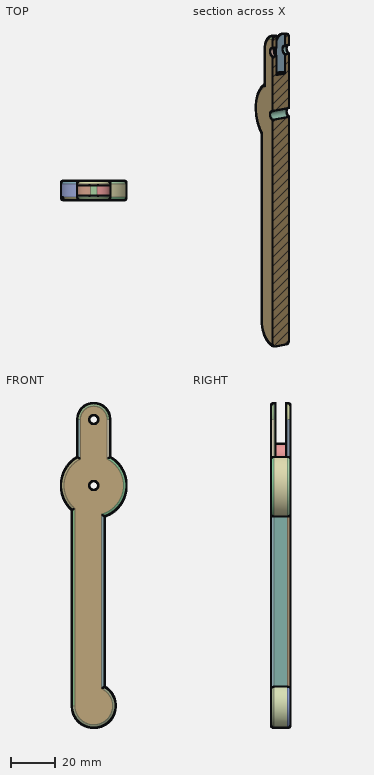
import cadquery as cq
import math

thickness = 9.0
disc_radius = 30.0 / 2
neck_radius = 7.5
fork_hole_height = 30.0
hole_diameter = 4.0
lobe_radius = 10.0
lobe_depth = 100.0
shaft_width = 15.0
edge_fillet = 1.5
slot_width = 4.5
tongue_corner_radius = 6.0

shaft_left = -lobe_radius
shaft_right = shaft_left + shaft_width
top = fork_hole_height + neck_radius
neck_root = math.sqrt(disc_radius**2 - neck_radius**2)
tongue_top = neck_root + tongue_corner_radius


def plate(depth):
    """Workplane whose extrusion by depth is centred on Y = 0."""
    return cq.Workplane("XZ", origin=(0, depth / 2, 0))


def cylinder(radius, height, depth):
    return plate(depth).center(0, height).circle(radius).extrude(depth)


def block(left, right, low, high, depth):
    width = right - left
    return plate(depth).center(left, low).rect(width, high - low, centered=False).extrude(depth)


def make_body():
    """Disc, rounded neck and offset shaft with its end lobe, all rounded on both faces."""
    disc = cylinder(disc_radius, 0, thickness)
    neck = block(-neck_radius, neck_radius, 0, fork_hole_height, thickness)
    neck_end = cylinder(neck_radius, fork_hole_height, thickness)
    shaft = block(shaft_left, shaft_right, -lobe_depth, 0, thickness)
    lobe = cylinder(lobe_radius, -lobe_depth, thickness)
    body = disc.union(neck).union(neck_end).union(shaft).union(lobe).clean()
    return body.faces("<Y or >Y").edges().fillet(edge_fillet)


def make_fork_slot():
    """Gap between the fork cheeks, leaving a round-cornered tongue at its root."""
    gap = block(-neck_radius, neck_radius, neck_root, top, slot_width)
    tongue = block(-neck_radius, neck_radius, 0, tongue_top, slot_width)
    tongue = tongue.faces(">Z").edges("|Y").fillet(tongue_corner_radius)
    return gap.cut(tongue)


result = make_body().cut(make_fork_slot())
for hole_height in (0, fork_hole_height):
    result = result.cut(cylinder(hole_diameter / 2, hole_height, thickness))